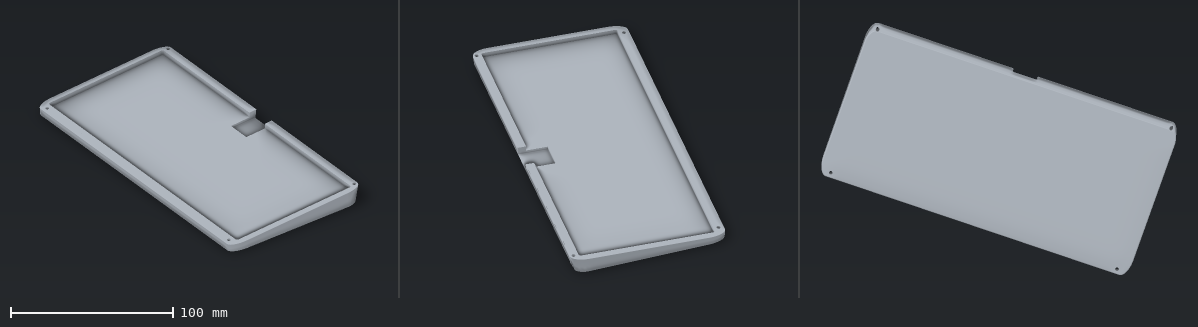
import cadquery as cq

WIDTH = 202.0
DEPTH = 100.5
REAR_HEIGHT = 11.5
FRONT_HEIGHT = 5.5

REAR_OVERHANG = 2.5
FRONT_OVERHANG = 0.5
CORNER_X = 5.3
FRONT_CORNER_Y = 12.5
REAR_CORNER_Y = 11.1
BASE_FRONT_CORNER_Y = 11.7
BASE_REAR_CORNER_Y = 8.7
BASE_FILLET = 0.6
TOP_FILLET = 0.3

RIDGE_SHOULDER_Z = 4.6
RIDGE_FOOT_Z = 2.6
RIDGE_INSET = 0.8

SIDE_RIM = 4.0
FRONT_RIM = 6.9
REAR_RIM = 5.7
RECESS_DEPTH = 3.5
RECESS_CORNER_RADIUS = 1.2

NOTCH_WIDTH = 15.8
NOTCH_LENGTH = 19.8
NOTCH_DEPTH = 5.9
NOTCH_FLOOR_FILLET = 0.6
NOTCH_CORNER_FILLET = 0.6
NOTCH_REAR_CHAMFER = 0.5

HOLE_DIAMETER = 2.5
FRONT_HOLE_X = 93.3
FRONT_HOLE_INSET = 3.5
REAR_HOLE_X = 95.7
REAR_HOLE_INSET = 2.5

FRONT_Y = -DEPTH / 2
REAR_Y = DEPTH / 2
SLOPE = (REAR_HEIGHT - FRONT_HEIGHT) / DEPTH
CLEARANCE = 10.0
MARGIN = 0.2


def add_outline(plane, front_y, rear_y, front_corner_y, rear_corner_y):
    """Rectangle with quarter-ellipse corners."""
    side_x = WIDTH / 2
    inner_x = side_x - CORNER_X
    return (
        plane.moveTo(-inner_x, front_y)
        .lineTo(inner_x, front_y)
        .ellipseArc(CORNER_X, front_corner_y, -90, 0, startAtCurrent=True)
        .lineTo(side_x, rear_y - rear_corner_y)
        .ellipseArc(CORNER_X, rear_corner_y, 0, 90, startAtCurrent=True)
        .lineTo(-inner_x, rear_y)
        .ellipseArc(CORNER_X, rear_corner_y, 90, 180, startAtCurrent=True)
        .lineTo(-side_x, front_y + front_corner_y)
        .ellipseArc(CORNER_X, front_corner_y, 180, 270, startAtCurrent=True)
        .close()
    )


def prism_along_x(points, width):
    """Extrude a profile of (y, z) points symmetrically along X."""
    return cq.Workplane("YZ").polyline(points).close().extrude(width / 2, both=True)


def space_above_slope(front_y, rear_y, width, drop):
    """Space above a plane lying `drop` below the sloping top."""
    def slope_z(y):
        return FRONT_HEIGHT + SLOPE * (y - FRONT_Y) - drop

    ceiling = REAR_HEIGHT + CLEARANCE
    profile = [
        (front_y, slope_z(front_y)),
        (rear_y, slope_z(rear_y)),
        (rear_y, ceiling),
        (front_y, ceiling),
    ]
    return prism_along_x(profile, width)


def make_body():
    base_front_y = FRONT_Y + FRONT_OVERHANG
    base_rear_y = REAR_Y - REAR_OVERHANG
    upper_front_y = base_front_y - FRONT_OVERHANG * REAR_HEIGHT / FRONT_HEIGHT
    base = add_outline(cq.Workplane("XY"), base_front_y, base_rear_y, BASE_FRONT_CORNER_Y, BASE_REAR_CORNER_Y)
    upper = base.workplane(offset=REAR_HEIGHT)
    block = add_outline(upper, upper_front_y, REAR_Y, FRONT_CORNER_Y, REAR_CORNER_Y).loft(ruled=True)
    top_waste = space_above_slope(FRONT_Y - CLEARANCE, REAR_Y + CLEARANCE, WIDTH + CLEARANCE, 0)
    block = block.faces("<Z").edges().fillet(BASE_FILLET)
    return block.union(make_rear_ridge()).cut(top_waste)


def make_rear_ridge():
    foot_y = REAR_Y - REAR_OVERHANG * (1 - RIDGE_FOOT_Z / REAR_HEIGHT)
    inside_y = REAR_Y - REAR_OVERHANG
    profile = [
        (REAR_Y, REAR_HEIGHT),
        (REAR_Y - RIDGE_INSET, RIDGE_SHOULDER_Z),
        (foot_y, RIDGE_FOOT_Z),
        (inside_y, RIDGE_FOOT_Z),
    ]
    return prism_along_x(profile, WIDTH - 2 * CORNER_X)


def make_recess():
    recess = space_above_slope(FRONT_Y + FRONT_RIM, REAR_Y - REAR_RIM, WIDTH - 2 * SIDE_RIM, RECESS_DEPTH)
    return recess.edges("|Z").fillet(RECESS_CORNER_RADIUS)


def make_notch():
    notch = space_above_slope(REAR_Y - NOTCH_LENGTH, REAR_Y + CLEARANCE, NOTCH_WIDTH, NOTCH_DEPTH)
    return notch.faces("<Z").edges().fillet(NOTCH_FLOOR_FILLET)


def make_holes():
    points = []
    for side in (-1, 1):
        points.append((side * FRONT_HOLE_X, FRONT_Y + FRONT_HOLE_INSET))
        points.append((side * REAR_HOLE_X, REAR_Y - REAR_HOLE_INSET))
    return cq.Workplane("XY").pushPoints(points).circle(HOLE_DIAMETER / 2).extrude(REAR_HEIGHT)


def soften_notch_rear(body):
    """Chamfer the walls and floor of the notch where they meet the rear face."""
    near_x = NOTCH_WIDTH / 2 + MARGIN
    opening = cq.selectors.BoxSelector(
        (-near_x, REAR_Y - RIDGE_INSET - MARGIN, RIDGE_SHOULDER_Z + MARGIN),
        (near_x, REAR_Y + MARGIN, REAR_HEIGHT - MARGIN),
    )
    return body.edges(opening).chamfer(NOTCH_REAR_CHAMFER)


def soften_outer_top(body):
    """Round the outer top edge, leaving the edges around the notch sharp."""
    near_x = NOTCH_WIDTH / 2 + NOTCH_REAR_CHAMFER + MARGIN
    around_notch = cq.selectors.BoxSelector(
        (-near_x, REAR_Y - NOTCH_LENGTH - MARGIN, 0), (near_x, REAR_Y + MARGIN, REAR_HEIGHT + MARGIN)
    )
    all_edges = cq.selectors.BoxSelector(
        (-WIDTH, -DEPTH, 0), (WIDTH, DEPTH, REAR_HEIGHT + MARGIN)
    )
    top_center = cq.selectors.NearestToPointSelector((0, 0, (FRONT_HEIGHT + REAR_HEIGHT) / 2))
    return body.faces(top_center).edges(all_edges - around_notch).fillet(TOP_FILLET)


def soften_notch_front(tray):
    """Round the two upright corners where the notch meets the recess."""
    near_x = NOTCH_WIDTH / 2 + MARGIN
    recess_rear_y = REAR_Y - REAR_RIM
    corners = cq.selectors.BoxSelector(
        (-near_x, recess_rear_y - MARGIN, 0), (near_x, recess_rear_y + MARGIN, REAR_HEIGHT)
    )
    return tray.edges("|Z").edges(corners).fillet(NOTCH_CORNER_FILLET)


body = soften_notch_rear(make_body().cut(make_notch()))
tray = soften_outer_top(body).cut(make_recess())
result = soften_notch_front(tray).cut(make_holes()).solids()